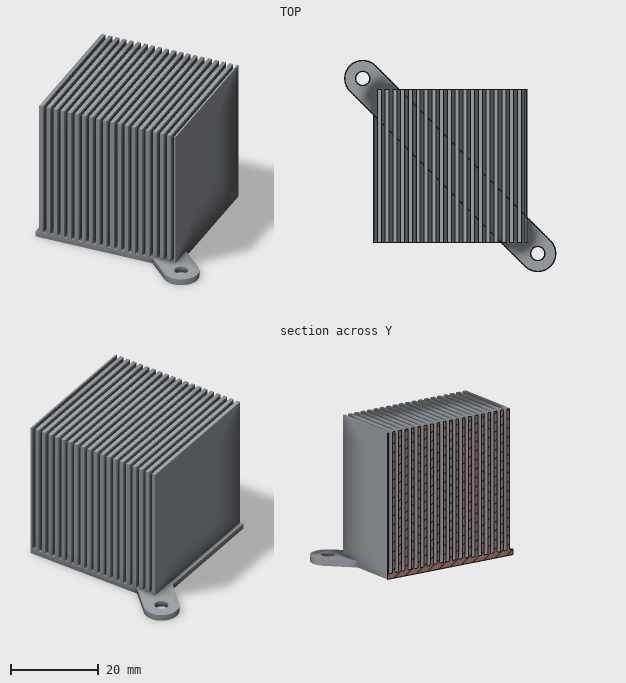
import cadquery as cq
import math

block_side = 35.0
block_height = 35.0
base_thickness = 1.4

slot_count = 20
slot_width = 0.85
edge_fin_thickness = 0.41
slot_pitch = (block_side - slot_width - edge_fin_thickness) / (slot_count - 1)

overall_span = 48.25
strap_width = 8.25
strap_thickness = 1.55
strap_angle = -45.0
hole_diameter = 3.2
ear_offset = (overall_span - strap_width) / 2
strap_length = 2 * ear_offset * math.sqrt(2) + strap_width


def make_finned_block():
    """Solid block cut down to the base plate by evenly spaced slots."""
    block = cq.Workplane("XY").box(block_side, block_side, block_height, centered=(True, True, False))
    first_slot_x = (slot_width - block_side) / 2
    slot_centers = [(first_slot_x + i * slot_pitch, 0) for i in range(slot_count)]
    slots = (
        cq.Workplane("XY")
        .workplane(offset=base_thickness)
        .pushPoints(slot_centers)
        .rect(slot_width, block_side)
        .extrude(block_height - base_thickness)
    )
    return block.cut(slots)


def make_strap():
    """Round-ended bar along the base diagonal, standing slightly proud of the slot floors."""
    return cq.Workplane("XY").slot2D(strap_length, strap_width, strap_angle).extrude(strap_thickness)


def make_mounting_holes():
    """Through-hole cylinders, concentric with the two ears."""
    return (
        cq.Workplane("XY")
        .pushPoints([(-ear_offset, ear_offset), (ear_offset, -ear_offset)])
        .circle(hole_diameter / 2)
        .extrude(strap_thickness)
    )


result = make_finned_block().union(make_strap()).cut(make_mounting_holes())